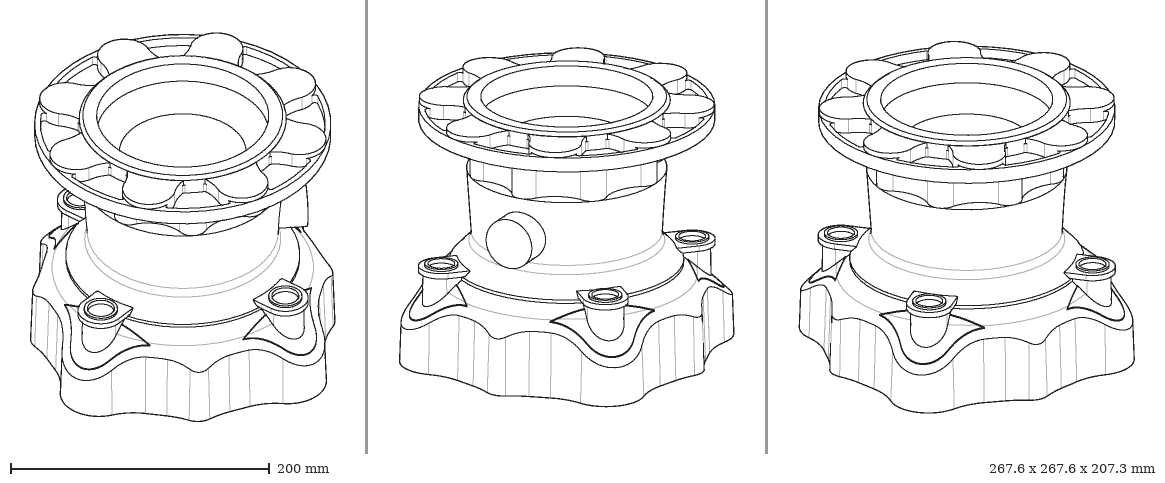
import math

import cadquery as cq

DIAGONAL = 45.0
LOBE_COUNT = 4
LOBE_TIP_R = 133.81
LOBE_ROUND_R = 30.0
SMALL_LOBE_TIP_R = 118.3
SMALL_LOBE_ROUND_R = 15.0
FLAT_R = 110.8
FLAT_ANGLE = 27.9
FLAT_HALF_WIDTH = 8.5
WALL_DRAFT = 2.0

SHOULDER_FOOT = (132.7, 31.5)
SHOULDER_BREAK = (101.0, 60.8)
STEP_R = 90.5
STEP_BOTTOM_Z = 70.7
STEP_TOP_Z = 73.4
SHOULDER_TOP = (75.8, 88.8)
SHOULDER_FILLET_MID = (74.4, 92.0)

NECK_FOOT = (73.9, 95.8)
NECK_R = 77.5
NECK_CONE_TOP_Z = 149.0
FLUTE_COUNT = 8
FLUTE_FLOOR_R = 64.5
FLUTE_EDGE_R = 71.4
FLUTE_HALF_ANGLE = 14.06

HEIGHT = 207.31
FLANGE_R = 114.5
FLANGE_HUB_Z = 186.0
FLANGE_BOTTOM_Z = 188.5
FLANGE_RIM_Z = 200.0
PAD_TOP_Z = 204.3
POCKET_FLOOR_Z = 192.5
POCKET_OUTER_R = 110.0
POCKET_CORNER_R = 2.5
POCKET_CORNER_BAND = 1.0
PAD_COUNT = 8
PAD_ROUND_CENTER = 93.9
PAD_ROUND_R = 20.4
PAD_WAIST = (85.5, 20.3)
PAD_ROOT = 75.0
PAD_ROOT_HALF_WIDTH = 23.4
RING_R = 80.0
RING_CHAMFER = 2.8

BORE_R = 98.0 / 2
SEAT_R = 133.0 / 2
SEAT_Z = HEIGHT - 16.5
BORE_TOP_Z = HEIGHT - 35.0

BOSS_CENTER_R = 101.4
BOSS_FOOT_R = 15.0
BOSS_DRAFT = 1.0
BOSS_BOTTOM_Z = 30.0
CAP_R = 17.7
CAP_BOTTOM_Z = 74.4
CAP_TOP_Z = 78.9
CAP_RING_R = 12.9
CAP_RING_TOP_Z = 80.6
CAP_HOLE_R = 10.4
CAP_HOLE_DEPTH = 3.6

FACE_INSET = 6.3
FACE_STEPS = ((93.5, 0.8), (97.0, 1.6))
FACE_BOTTOM_Z = 20.0

SIDE_BOSS_R = 20.0
SIDE_BOSS_REACH = 95.3
SIDE_BOSS_Z = 117.3


def polar(radius, degrees):
    angle = math.radians(degrees)
    return (radius * math.cos(angle), radius * math.sin(angle))


def add(a, b, scale=1.0):
    return (a[0] + scale * b[0], a[1] + scale * b[1])


def toward(start, end, distance):
    dx, dy = end[0] - start[0], end[1] - start[1]
    length = math.hypot(dx, dy)
    return (start[0] + dx * distance / length, start[1] + dy * distance / length)


def direction(point):
    return math.degrees(math.atan2(point[1], point[0]))


def turned(point, degrees):
    return polar(math.hypot(*point), direction(point) + degrees)


def mirror(point, degrees):
    """Reflection of a point in the line through the axis at the given angle."""
    return polar(math.hypot(*point), 2 * degrees - direction(point))


def valley(flat_end, normal, lobe_center, lobe_r):
    """Middle and lobe end of the hollow arc tangent to a flat and to a round lobe."""
    gap = add(flat_end, lobe_center, -1)
    along = gap[0] * normal[0] + gap[1] * normal[1]
    valley_r = (gap[0] ** 2 + gap[1] ** 2 - lobe_r ** 2) / (2 * (lobe_r - along))
    center = add(flat_end, normal, valley_r)
    lobe_end = toward(center, lobe_center, valley_r)
    chord_middle = ((flat_end[0] + lobe_end[0]) / 2, (flat_end[1] + lobe_end[1]) / 2)
    return toward(center, chord_middle, valley_r), lobe_end


def wall_outline():
    normal = polar(1, FLAT_ANGLE)
    tangent = polar(1, FLAT_ANGLE + 90)
    flat_middle = polar(FLAT_R, FLAT_ANGLE)
    flat_start = add(flat_middle, tangent, -FLAT_HALF_WIDTH)
    flat_end = add(flat_middle, tangent, FLAT_HALF_WIDTH)
    lobe_center = (LOBE_TIP_R - LOBE_ROUND_R, 0)
    small_center = polar(SMALL_LOBE_TIP_R - SMALL_LOBE_ROUND_R, DIAGONAL)
    big_mid, big_end = valley(flat_start, normal, lobe_center, LOBE_ROUND_R)
    small_mid, small_end = valley(flat_end, normal, small_center, SMALL_LOBE_ROUND_R)

    lobe_tip = (LOBE_TIP_R, 0)
    small_tip = polar(SMALL_LOBE_TIP_R, DIAGONAL)
    quarter = (
        (lobe_tip, big_end),
        (big_mid, flat_start),
        (None, flat_end),
        (small_mid, small_end),
        (small_tip, mirror(small_end, DIAGONAL)),
        (mirror(small_mid, DIAGONAL), mirror(flat_end, DIAGONAL)),
        (None, mirror(flat_start, DIAGONAL)),
        (mirror(big_mid, DIAGONAL), mirror(big_end, DIAGONAL)),
    )
    outline = cq.Workplane("XY").moveTo(*mirror(big_end, 0))
    for lobe_index in range(LOBE_COUNT):
        turn = lobe_index * 360 / LOBE_COUNT
        for middle, end in quarter:
            if middle is None:
                outline = outline.lineTo(*turned(end, turn))
            else:
                outline = outline.threePointArc(turned(middle, turn), turned(end, turn))
    return outline.close()


def revolve_profile(profile):
    return profile.close().revolve(360, (0, 0, 0), (0, 1, 0))


def shoulder_cone(raise_by=0.0):
    fall = SHOULDER_BREAK[1] - SHOULDER_FOOT[1]
    slope = fall / (SHOULDER_FOOT[0] - SHOULDER_BREAK[0])
    rim_z = SHOULDER_FOOT[1] - slope * (LOBE_TIP_R - SHOULDER_FOOT[0])
    return revolve_profile(
        cq.Workplane("XZ")
        .lineTo(LOBE_TIP_R, 0)
        .lineTo(LOBE_TIP_R, rim_z + raise_by)
        .lineTo(SHOULDER_BREAK[0], SHOULDER_BREAK[1] + raise_by)
        .lineTo(STEP_R, STEP_BOTTOM_Z + raise_by)
        .lineTo(0, STEP_BOTTOM_Z + raise_by)
    )


def skirt():
    walls = wall_outline().extrude(STEP_BOTTOM_Z, taper=WALL_DRAFT)
    return walls.intersect(shoulder_cone())


def neck():
    return revolve_profile(
        cq.Workplane("XZ")
        .moveTo(0, STEP_BOTTOM_Z)
        .lineTo(STEP_R, STEP_BOTTOM_Z)
        .lineTo(STEP_R, STEP_TOP_Z)
        .lineTo(*SHOULDER_TOP)
        .threePointArc(SHOULDER_FILLET_MID, NECK_FOOT)
        .lineTo(NECK_R, NECK_CONE_TOP_Z)
        .lineTo(0, NECK_CONE_TOP_Z)
    )


def fluted_collar():
    pitch = 360 / FLUTE_COUNT
    first = pitch / 2 - FLUTE_HALF_ANGLE
    outline = cq.Workplane("XY", origin=(0, 0, NECK_CONE_TOP_Z)).moveTo(*polar(FLUTE_EDGE_R, first))
    for index in range(FLUTE_COUNT):
        flute_angle = (index + 0.5) * pitch
        flute_end = polar(FLUTE_EDGE_R, flute_angle + FLUTE_HALF_ANGLE)
        next_flute = polar(FLUTE_EDGE_R, flute_angle + pitch - FLUTE_HALF_ANGLE)
        outline = outline.threePointArc(polar(FLUTE_FLOOR_R, flute_angle), flute_end)
        outline = outline.threePointArc(polar(NECK_R, flute_angle + pitch / 2), next_flute)
    return outline.close().extrude(FLANGE_BOTTOM_Z - NECK_CONE_TOP_Z)


def disc(radius, bottom, top):
    plate = cq.Workplane("XY", origin=(0, 0, bottom)).circle(radius).extrude(top - bottom)
    return plate.rotate((0, 0, 0), (0, 0, 1), 180 / PAD_COUNT)


def flange_pads():
    outline = (
        cq.Workplane("XY", origin=(0, 0, POCKET_FLOOR_Z))
        .moveTo(PAD_ROOT, -PAD_ROOT_HALF_WIDTH)
        .threePointArc((PAD_WAIST[0], -PAD_WAIST[1]), (PAD_ROUND_CENTER, -PAD_ROUND_R))
        .threePointArc((PAD_ROUND_CENTER + PAD_ROUND_R, 0), (PAD_ROUND_CENTER, PAD_ROUND_R))
        .threePointArc(PAD_WAIST, (PAD_ROOT, PAD_ROOT_HALF_WIDTH))
        .lineTo(0, PAD_ROOT_HALF_WIDTH)
        .lineTo(0, -PAD_ROOT_HALF_WIDTH)
        .close()
    )
    pad = outline.extrude(PAD_TOP_Z - POCKET_FLOOR_Z)
    pads = disc(RING_R, POCKET_FLOOR_Z, PAD_TOP_Z)
    pitch = 360 / PAD_COUNT
    for index in range(PAD_COUNT):
        pads = pads.union(pad.rotate((0, 0, 0), (0, 0, 1), (index + 0.5) * pitch))
    return pads


def is_pocket_corner(edge):
    radius = math.hypot(edge.Center().x, edge.Center().y)
    return radius > POCKET_OUTER_R - POCKET_CORNER_BAND or radius < RING_R + POCKET_CORNER_BAND


def flange():
    plate = revolve_profile(
        cq.Workplane("XZ")
        .moveTo(0, FLANGE_HUB_Z)
        .lineTo(NECK_R, FLANGE_HUB_Z)
        .lineTo(FLANGE_R, FLANGE_BOTTOM_Z)
        .lineTo(FLANGE_R, FLANGE_RIM_Z)
        .lineTo(0, FLANGE_RIM_Z)
    )
    pads = flange_pads()
    pockets = disc(POCKET_OUTER_R, POCKET_FLOOR_Z, PAD_TOP_Z).cut(pads)
    corners = pockets.edges("|Z").filter(is_pocket_corner)
    pockets = corners.fillet(POCKET_CORNER_R)
    ring = disc(RING_R, FLANGE_RIM_Z, HEIGHT).faces(">Z").edges().chamfer(RING_CHAMFER)
    return plate.union(pads).cut(pockets).union(ring)


def central_bore():
    return revolve_profile(
        cq.Workplane("XZ")
        .lineTo(BORE_R, 0)
        .lineTo(BORE_R, BORE_TOP_Z)
        .lineTo(SEAT_R, SEAT_Z)
        .lineTo(SEAT_R, HEIGHT)
        .lineTo(0, HEIGHT)
    )


def rounded_tongue(radius, bottom, top, root, draft=0.0):
    """Block along +X from the root distance, ending in a half round about the boss axis."""
    return (
        cq.Workplane("XY", origin=(0, 0, bottom))
        .moveTo(root, -radius)
        .lineTo(BOSS_CENTER_R, -radius)
        .threePointArc((BOSS_CENTER_R + radius, 0), (BOSS_CENTER_R, radius))
        .lineTo(root, radius)
        .close()
        .extrude(top - bottom, taper=draft)
    )


def lobe_boss():
    root = BOSS_CENTER_R - CAP_R
    post = rounded_tongue(BOSS_FOOT_R, BOSS_BOTTOM_Z, CAP_BOTTOM_Z, root, BOSS_DRAFT)
    cap = rounded_tongue(CAP_R, CAP_BOTTOM_Z, CAP_TOP_Z, root)
    ring = disc(CAP_RING_R, CAP_TOP_Z, CAP_RING_TOP_Z).translate((BOSS_CENTER_R, 0, 0))
    hole = disc(CAP_HOLE_R, CAP_RING_TOP_Z - CAP_HOLE_DEPTH, CAP_RING_TOP_Z)
    return post.union(cap).union(ring).cut(hole.translate((BOSS_CENTER_R, 0, 0)))


def lobe_face(inner_edge, rise):
    inset_wall = wall_outline().offset2D(-FACE_INSET).extrude(STEP_BOTTOM_Z, taper=WALL_DRAFT)
    lobe_side = (
        cq.Workplane("XY", origin=(inner_edge, 0, FACE_BOTTOM_Z))
        .rect(LOBE_TIP_R - inner_edge, LOBE_TIP_R, centered=(False, True))
        .extrude(HEIGHT)
    )
    return inset_wall.intersect(shoulder_cone(rise)).intersect(lobe_side)


def side_boss():
    boss = cq.Workplane("YZ").circle(SIDE_BOSS_R).extrude(SIDE_BOSS_REACH)
    return boss.translate((0, 0, SIDE_BOSS_Z)).rotate((0, 0, 0), (0, 0, 1), DIAGONAL)


result = skirt().union(neck()).union(fluted_collar()).union(side_boss()).union(flange())
lobe_features = lobe_boss()
for inner_edge, rise in FACE_STEPS:
    lobe_features = lobe_features.union(lobe_face(inner_edge, rise))
for lobe in range(LOBE_COUNT):
    result = result.union(lobe_features.rotate((0, 0, 0), (0, 0, 1), lobe * 360 / LOBE_COUNT))
result = result.cut(central_bore())